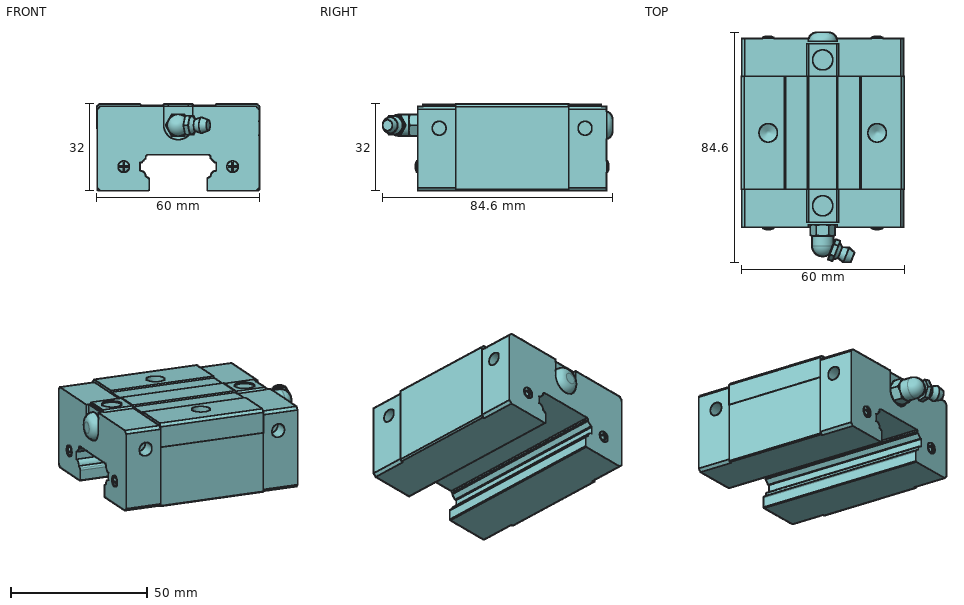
import cadquery as cq
import math


HEIGHT = 32.0
BLOCK_WIDTH = 60.0
BLOCK_LENGTH = 41.5
CARRIAGE_LENGTH = 69.4

BLOCK_TOP_CHAMFER = 1.1
BLOCK_BOTTOM_CHAMFER = 0.6
CHANNEL_DEPTH = 0.5
CHANNEL_WIDTH = 27.2
RELIEF_DEPTH = 0.2
RELIEF_HEIGHT = 23.0

CAP_WIDTH = 59.5
CAP_HEIGHT = 31.0
CAP_CHAMFER = 1.1
SEAL_THICKNESS = 1.9

CAP_STRIP_TOP = 31.75
STRIP_TOP_WIDTH = 10.2
STRIP_LENGTH = CARRIAGE_LENGTH - 2 * SEAL_THICKNESS

SLOT_MOUTH = 10.6
SLOT_MOUTH_CHAMFER = 0.3
SLOT_WAIST = 13.95
SLOT_ROOF_Z = 13.2
LIP_ROUNDING_START_Z = 4.2
LIP_ROUNDING_MIDDLE = (10.75, 4.6)
LIP_ROUNDING_END = (11.1, 4.85)
BEAD_FOOT = (11.9, 5.4)
BEAD_MIDDLE = (12.55, 6.85)
WAIST_BOTTOM_Z = 7.4
WAIST_TOP_Z = 10.4
UPPER_FLANK_FOOT = 13.4
UPPER_FLANK_TOP = (11.85, 12.0)
ROOF_CHAMFER = 0.5

MOUNT_SPACING = 40.0
MOUNT_DIAMETER = 6.8
MOUNT_DEPTH = 12.0
DRILL_POINT_ANGLE = 118.0

PORT_Y = 26.8
TOP_PORT_DIAMETER = 7.4
TOP_PORT_DEPTH = 0.5
SIDE_PORT_DIAMETER = 5.1
SIDE_PORT_DEPTH = 6.0
SIDE_PORT_Z = 23.0

POCKET_RADIUS = 5.3
POCKET_DEPTH = 1.0
POCKET_Z = 24.1
POCKET_FLOOR_Y = CARRIAGE_LENGTH / 2 - POCKET_DEPTH

PLUG_HEIGHT = 3.3
PLUG_ROUNDING = 3.2

SCREW_SPACING = 40.0
SCREW_Z = 8.9
SCREW_HEAD_RADIUS = 2.1
SCREW_HEAD_HEIGHT = 0.9
SCREW_RIM_HEIGHT = 0.3
SCREW_CROSS_LENGTH = 3.0
SCREW_CROSS_WIDTH = 0.5
SCREW_CROSS_DEPTH = 0.8

ELBOW_HEX_FLATS = 8.0
ELBOW_HEX_LENGTH = 4.2
ELBOW_RADIUS = 4.0
ELBOW_LENGTH = 7.76
HEX_EDGE_ANGLE = 30.0
HEX_SIDES = 6

NIPPLE_ANGLE = 21.4
NIPPLE_HEX_FLATS = 7.0
NIPPLE_HEX_START = 3.6
NIPPLE_HEX_LENGTH = 1.8
NIPPLE_SHOULDER_RADIUS = 3.4
NIPPLE_NECK_START = 6.9
NIPPLE_NECK_RADIUS = 2.2
NIPPLE_HEAD_START = 9.3
NIPPLE_HEAD_RADIUS = 2.95
NIPPLE_TIP_END = 11.85
NIPPLE_TIP_RADIUS = 1.96


def box(width, length, height):
    return cq.Workplane("XY").box(width, length, height, centered=(True, True, False))


def make_block():
    block = box(BLOCK_WIDTH, BLOCK_LENGTH, HEIGHT)
    block = block.edges("|Y and >Z").chamfer(BLOCK_TOP_CHAMFER)
    block = block.edges("|Y and <Z").chamfer(BLOCK_BOTTOM_CHAMFER)
    half_floor = CHANNEL_WIDTH / 2
    half_mouth = half_floor + CHANNEL_DEPTH
    channel_floor = HEIGHT - CHANNEL_DEPTH
    channel = (
        cq.Workplane("XZ")
        .polyline([
            (-half_floor, channel_floor),
            (half_floor, channel_floor),
            (half_mouth, HEIGHT),
            (-half_mouth, HEIGHT),
        ])
        .close()
        .extrude(BLOCK_LENGTH / 2, both=True)
    )
    side_relief = box(2 * RELIEF_DEPTH, BLOCK_LENGTH, RELIEF_HEIGHT).translate((-BLOCK_WIDTH / 2, 0, 0))
    return block.cut(channel).cut(side_relief)


def make_end_caps():
    caps = box(CAP_WIDTH, CARRIAGE_LENGTH, CAP_HEIGHT)
    return caps.edges("|Y").chamfer(CAP_CHAMFER)


def strip_section(base, top, length):
    """Strip length whose sides slope outward at 45 degrees from its top to its base."""
    half_top = STRIP_TOP_WIDTH / 2
    half_base = half_top + top - base
    return (
        cq.Workplane("XZ")
        .polyline([
            (-half_base, base),
            (half_base, base),
            (half_top, top),
            (-half_top, top),
        ])
        .close()
        .extrude(length / 2, both=True)
    )


def make_strip():
    over_caps = strip_section(CAP_HEIGHT, CAP_STRIP_TOP, STRIP_LENGTH)
    over_block = strip_section(HEIGHT - CHANNEL_DEPTH, HEIGHT, BLOCK_LENGTH)
    return over_caps.union(over_block)


def make_rail_slot():
    """Slot for the rail, with a rounded lip and bead on the lower flank of each side."""
    flank_x, flank_z = UPPER_FLANK_TOP
    half_slot = (
        cq.Workplane("XZ")
        .moveTo(0, 0)
        .lineTo(SLOT_MOUTH + SLOT_MOUTH_CHAMFER, 0)
        .lineTo(SLOT_MOUTH, SLOT_MOUTH_CHAMFER)
        .lineTo(SLOT_MOUTH, LIP_ROUNDING_START_Z)
        .threePointArc(LIP_ROUNDING_MIDDLE, LIP_ROUNDING_END)
        .lineTo(*BEAD_FOOT)
        .threePointArc(BEAD_MIDDLE, (SLOT_WAIST, WAIST_BOTTOM_Z))
        .lineTo(SLOT_WAIST, WAIST_TOP_Z)
        .lineTo(UPPER_FLANK_FOOT, WAIST_TOP_Z)
        .lineTo(flank_x, flank_z)
        .lineTo(flank_x, SLOT_ROOF_Z - ROOF_CHAMFER)
        .lineTo(flank_x - ROOF_CHAMFER, SLOT_ROOF_Z)
        .lineTo(0, SLOT_ROOF_Z)
        .close()
        .extrude(CARRIAGE_LENGTH / 2, both=True)
    )
    return half_slot.union(half_slot.mirror("YZ"))


def make_mounting_holes():
    radius = MOUNT_DIAMETER / 2
    point_length = radius / math.tan(math.radians(DRILL_POINT_ANGLE / 2))
    hole = (
        cq.Workplane("XZ")
        .moveTo(0, HEIGHT)
        .lineTo(radius, HEIGHT)
        .lineTo(radius, HEIGHT - MOUNT_DEPTH)
        .lineTo(0, HEIGHT - MOUNT_DEPTH - point_length)
        .close()
        .revolve(360, (0, 0), (0, 1))
    )
    half_spacing = MOUNT_SPACING / 2
    return hole.translate((-half_spacing, 0, 0)).union(hole.translate((half_spacing, 0, 0)))


def make_top_ports():
    return (
        cq.Workplane("XY", origin=(0, 0, CAP_STRIP_TOP - TOP_PORT_DEPTH))
        .pushPoints([(0, -PORT_Y), (0, PORT_Y)])
        .circle(TOP_PORT_DIAMETER / 2)
        .extrude(TOP_PORT_DEPTH)
    )


def make_side_ports():
    ports = (
        cq.Workplane("YZ", origin=(-CAP_WIDTH / 2, 0, 0))
        .pushPoints([(-PORT_Y, SIDE_PORT_Z), (PORT_Y, SIDE_PORT_Z)])
        .circle(SIDE_PORT_DIAMETER / 2)
        .extrude(SIDE_PORT_DEPTH)
    )
    return ports.union(ports.mirror("YZ"))


def make_end_pockets():
    """U-shaped pockets, open at the top of both end faces."""
    pocket = (
        cq.Workplane("XZ", origin=(0, -POCKET_FLOOR_Y, 0))
        .moveTo(-POCKET_RADIUS, HEIGHT)
        .lineTo(-POCKET_RADIUS, POCKET_Z)
        .threePointArc((0, POCKET_Z - POCKET_RADIUS), (POCKET_RADIUS, POCKET_Z))
        .lineTo(POCKET_RADIUS, HEIGHT)
        .close()
        .extrude(POCKET_DEPTH)
    )
    return pocket.union(pocket.mirror("XZ"))


def make_plug():
    plug = (
        cq.Workplane("XZ", origin=(0, POCKET_FLOOR_Y, POCKET_Z))
        .circle(POCKET_RADIUS)
        .extrude(-PLUG_HEIGHT)
    )
    return plug.faces(">Y").edges().fillet(PLUG_ROUNDING)


def make_screw_head():
    """Domed cross-recess head on the XY plane, axis along +Z."""
    rise = SCREW_HEAD_HEIGHT - SCREW_RIM_HEIGHT
    dome_radius = (SCREW_HEAD_RADIUS**2 + rise**2) / (2 * rise)
    dome = cq.Workplane("XY").sphere(dome_radius).translate((0, 0, SCREW_HEAD_HEIGHT - dome_radius))
    head = cq.Workplane("XY").circle(SCREW_HEAD_RADIUS).extrude(SCREW_HEAD_HEIGHT).intersect(dome)
    recess_floor = SCREW_HEAD_HEIGHT - SCREW_CROSS_DEPTH
    arm = box(SCREW_CROSS_LENGTH, SCREW_CROSS_WIDTH, SCREW_CROSS_DEPTH).translate((0, 0, recess_floor))
    return head.cut(arm).cut(arm.rotate((0, 0, 0), (0, 0, 1), 90))


def make_screw_heads():
    head = make_screw_head().rotate((0, 0, 0), (1, 0, 0), 90)
    front_head = head.translate((SCREW_SPACING / 2, -CARRIAGE_LENGTH / 2, SCREW_Z))
    front_pair = front_head.union(front_head.mirror("YZ"))
    return front_pair.union(front_pair.mirror("XZ"))


def hexagon(flats, length):
    """Hexagonal prism along Z from Z = 0, with flats facing +Y and -Y."""
    prism = cq.Workplane("XY").polygon(HEX_SIDES, flats, circumscribed=True).extrude(length)
    return prism.rotate((0, 0, 0), (0, 0, 1), 180 / HEX_SIDES)


def make_elbow_hex():
    """Elbow hexagon along +Z with its corners turned off at both ends."""
    flat_radius = ELBOW_HEX_FLATS / 2
    corner_radius = flat_radius / math.cos(math.pi / HEX_SIDES)
    corner_drop = (corner_radius - flat_radius) * math.tan(math.radians(HEX_EDGE_ANGLE))
    turned_blank = (
        cq.Workplane("XZ")
        .moveTo(0, 0)
        .lineTo(flat_radius, 0)
        .lineTo(corner_radius, corner_drop)
        .lineTo(corner_radius, ELBOW_HEX_LENGTH - corner_drop)
        .lineTo(flat_radius, ELBOW_HEX_LENGTH)
        .lineTo(0, ELBOW_HEX_LENGTH)
        .close()
        .revolve(360, (0, 0), (0, 1))
    )
    return hexagon(ELBOW_HEX_FLATS, ELBOW_HEX_LENGTH).intersect(turned_blank)


def make_nipple():
    """Grease nipple along +Z, starting inside the elbow at its centre."""
    hex_end = NIPPLE_HEX_START + NIPPLE_HEX_LENGTH
    body = (
        cq.Workplane("XZ")
        .moveTo(0, 0)
        .lineTo(NIPPLE_NECK_RADIUS, 0)
        .lineTo(NIPPLE_NECK_RADIUS, NIPPLE_HEX_START)
        .lineTo(NIPPLE_SHOULDER_RADIUS, NIPPLE_HEX_START)
        .lineTo(NIPPLE_SHOULDER_RADIUS, hex_end)
        .lineTo(NIPPLE_NECK_RADIUS, NIPPLE_NECK_START)
        .lineTo(NIPPLE_HEAD_RADIUS, NIPPLE_HEAD_START)
        .lineTo(NIPPLE_TIP_RADIUS, NIPPLE_TIP_END)
        .lineTo(0, NIPPLE_TIP_END)
        .close()
        .revolve(360, (0, 0), (0, 1))
    )
    nipple_hex = hexagon(NIPPLE_HEX_FLATS, NIPPLE_HEX_LENGTH).translate((0, 0, NIPPLE_HEX_START))
    return body.union(nipple_hex)


def make_grease_fitting():
    """Elbow fitting along -Y from the pocket floor, its nipple swung toward +X."""
    stem = cq.Workplane("XY").circle(ELBOW_RADIUS).extrude(ELBOW_LENGTH)
    elbow_end = cq.Workplane("XY").sphere(ELBOW_RADIUS).translate((0, 0, ELBOW_LENGTH))
    swing = 90 - NIPPLE_ANGLE
    nipple = make_nipple().rotate((0, 0, 0), (0, 1, 0), swing).translate((0, 0, ELBOW_LENGTH))
    fitting = make_elbow_hex().union(stem).union(elbow_end).union(nipple)
    return fitting.rotate((0, 0, 0), (1, 0, 0), 90).translate((0, -POCKET_FLOOR_Y, POCKET_Z))


carriage = make_block().union(make_end_caps()).union(make_strip())
carriage = carriage.cut(make_rail_slot()).cut(make_mounting_holes())
carriage = carriage.cut(make_top_ports()).cut(make_side_ports()).cut(make_end_pockets())
result = carriage.union(make_plug()).union(make_screw_heads()).union(make_grease_fitting())